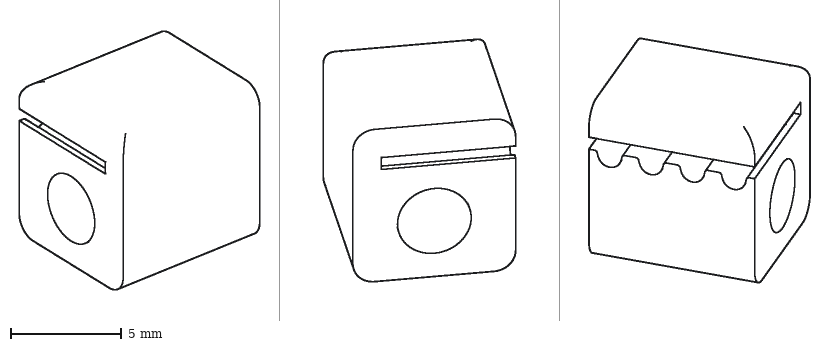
import cadquery as cq
import math

length = 8.0
width = 7.5
height = 8.0
edge_radius = 1.0

bore_diameter = 3.4
bore_height = 2.93

slot_depth = 6.2
slot_floor = 5.86
slot_height = 0.62

tooth_pitch = 2.0
tooth_count = 4
tooth_depth = 0.75
root_radius = 0.55
flank_radius = 1.0
flank_offset = 0.4
lip_radius = 0.15


def rounded_block():
    """Block with rounded long edges, mitred against a rounded top front edge."""
    block = cq.Workplane("XY").box(width, length, height, centered=(True, True, False))
    front_rounded = block.edges("<Y and >Z").fillet(edge_radius)
    return block.edges("|Y").fillet(edge_radius).intersect(front_rounded)


def bore():
    return (
        cq.Workplane("XZ")
        .center(0, bore_height)
        .circle(bore_diameter / 2)
        .extrude(length / 2, both=True)
    )


def slot():
    return (
        cq.Workplane("XY")
        .box(slot_depth, length, slot_height, centered=(False, True, False))
        .translate((-width / 2, 0, slot_floor))
    )


def arc_point(center, radius, angle):
    return (center[0] + radius * math.cos(angle), center[1] + radius * math.sin(angle))


def tooth_groove(center_y):
    """Groove with a round root, larger flank arcs tangent to it and rounded lips."""
    root_center = (0, root_radius - tooth_depth)
    root_to_flank = flank_radius - root_radius
    flank_rise = math.sqrt(root_to_flank**2 - flank_offset**2)
    flank_center = (-flank_offset, root_center[1] + flank_rise)

    flank_to_lip = flank_radius + lip_radius
    lip_drop = flank_center[1] + lip_radius
    lip_center = (flank_center[0] + math.sqrt(flank_to_lip**2 - lip_drop**2), -lip_radius)

    root_angle = -math.atan2(flank_rise, flank_offset)
    lip_angle = -math.asin(lip_drop / flank_to_lip)
    lip_middle_angle = (math.pi / 2 + math.pi + lip_angle) / 2

    mouth = (lip_center[0], 0)
    lip_middle = arc_point(lip_center, lip_radius, lip_middle_angle)
    flank_top = arc_point(flank_center, flank_radius, lip_angle)
    flank_middle = arc_point(flank_center, flank_radius, (lip_angle + root_angle) / 2)
    flank_bottom = arc_point(flank_center, flank_radius, root_angle)
    root_bottom = (0, -tooth_depth)

    def mirrored(point):
        return (-point[0], point[1])

    floor_plane = cq.Plane(
        origin=(-width / 2, center_y, slot_floor), xDir=(0, 1, 0), normal=(1, 0, 0)
    )
    return (
        cq.Workplane(floor_plane)
        .moveTo(*mouth)
        .threePointArc(lip_middle, flank_top)
        .threePointArc(flank_middle, flank_bottom)
        .threePointArc(root_bottom, mirrored(flank_bottom))
        .threePointArc(mirrored(flank_middle), mirrored(flank_top))
        .threePointArc(mirrored(lip_middle), mirrored(mouth))
        .close()
        .extrude(slot_depth)
    )


result = rounded_block().cut(bore()).cut(slot())
for index in range(tooth_count):
    groove_y = (index - (tooth_count - 1) / 2) * tooth_pitch
    result = result.cut(tooth_groove(groove_y))